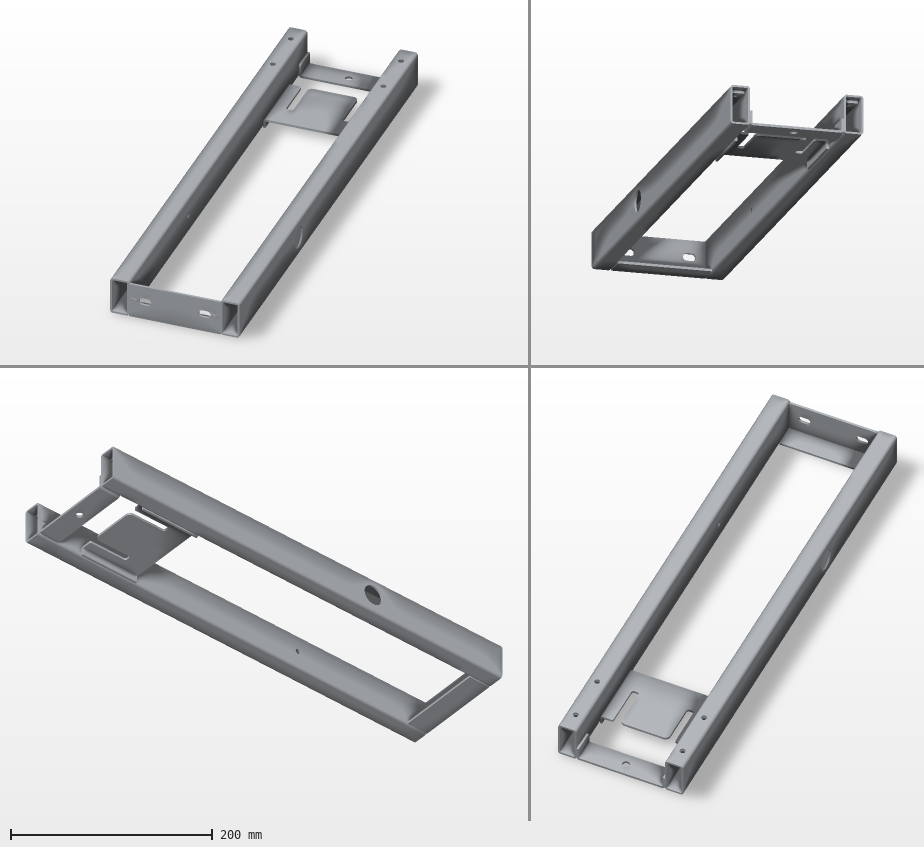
import cadquery as cq

frame_length = 501.5
frame_width = 137.0
rail_width = 20.0
rail_height = 40.0
rail_wall = 2.0
sheet = 2.5
rail_corner = 3.0
bump_depth = 1.5

rail_length = frame_length - bump_depth
rail_center_x = (frame_width - rail_width) / 2
inner_gap = frame_width - 2 * rail_width
bend_radius = 3.5

thread_setbacks = (20.0, 70.0)
clearance_diameter = 6.0
thread_diameter = 4.5
strip_width = 14.0
strip_thickness = 3.0
strip_margin = 10.0

side_hole_setback = 334.0
side_hole_diameter = 6.0
access_diameter = 22.5

front_plate_height = 37.5
front_flange = 25.0
front_slot_length = 13.0
front_slot_height = 7.5
front_slot_x = 31.5
bump_x = 42.5
bump_width = 6.0
bump_height = 3.5

strap_depth = 25.0
strap_ear_height = 15.0
strap_ear_round = 3.0
strap_hole_diameter = 7.5

shelf_setback = 54.5
shelf_depth = 70.0
shelf_height = 10.0
shelf_slot_x = 30.0
shelf_slot_width = 7.5
shelf_slot_depth = 45.0
shelf_slot_round = 2.5
tongue_round = 5.0
ear_round = 2.0


def block(width, depth, height, x, y, z):
    """Box centred on x, starting at y and z."""
    return cq.Workplane("XY").box(width, depth, height, centered=(True, False, False)).translate((x, y, z))


def make_rail(side):
    """Hollow rail on the given side (-1 or 1) with its threaded strip and holes."""
    x = side * rail_center_x
    rail = block(rail_width, rail_length, rail_height, x, 0, 0).edges("|Y").fillet(rail_corner)
    bore = block(rail_width - 2 * rail_wall, rail_length, rail_height - 2 * rail_wall, x, 0, rail_wall)
    bore = bore.edges("|Y").fillet(rail_corner - rail_wall)
    rail = rail.cut(bore)

    strip_length = thread_setbacks[1] - thread_setbacks[0] + 2 * strip_margin
    strip_start = rail_length - thread_setbacks[1] - strip_margin
    wall_base = rail_height - rail_wall
    strip_base = wall_base - strip_thickness
    rail = rail.union(block(strip_width, strip_length, strip_thickness, x, strip_start, strip_base))

    for setback in thread_setbacks:
        center_y = rail_length - setback
        thread = cq.Workplane("XY", origin=(x, center_y, strip_base)).circle(thread_diameter / 2)
        rail = rail.cut(thread.extrude(strip_thickness))
        clearance = cq.Workplane("XY", origin=(x, center_y, wall_base)).circle(clearance_diameter / 2)
        rail = rail.cut(clearance.extrude(rail_wall))

    side_hole_center = (x, rail_length - side_hole_setback, rail_height / 2)
    side_hole = (
        cq.Workplane("YZ", origin=side_hole_center)
        .circle(side_hole_diameter / 2)
        .extrude(rail_width, both=True)
    )
    access_hole = (
        cq.Workplane("YZ", origin=side_hole_center)
        .circle(access_diameter / 2)
        .extrude(side * rail_width / 2)
    )
    return rail.cut(side_hole).cut(access_hole)


def make_front_angle():
    """Upright end plate with a floor flange, two slots and two locating bumps."""
    plate = block(inner_gap, sheet, front_plate_height, 0, 0, 0)
    flange = block(inner_gap, front_flange, sheet, 0, 0, 0)
    mid_height = rail_height / 2
    slots = (
        cq.Workplane("XZ", origin=(0, 0, mid_height))
        .pushPoints([(-front_slot_x, 0), (front_slot_x, 0)])
        .slot2D(front_slot_length, front_slot_height)
        .extrude(-sheet)
    )
    bumps = (
        cq.Workplane("XY", origin=(0, 0, mid_height - bump_height / 2))
        .pushPoints([(-bump_x, 0), (bump_x, 0)])
        .ellipse(bump_width / 2, bump_depth)
        .extrude(bump_height)
    )
    return plate.union(flange).cut(slots).union(bumps)


def make_channel(depth, height, y):
    """Folded sheet with its web at the bottom and upright ears against both rails."""
    outer = block(inner_gap, depth, height, 0, y, 0).edges("|Y and <Z").fillet(bend_radius)
    inner = block(inner_gap - 2 * sheet, depth, height, 0, y, sheet)
    inner = inner.edges("|Y and <Z").fillet(bend_radius - sheet)
    return outer.cut(inner)


def make_rear_strap():
    """Strap across the rear end with upturned ears and a central hole."""
    strap_y = rail_length - strap_depth
    strap = make_channel(strap_depth, strap_ear_height, strap_y)
    strap = strap.edges("|X and >Z and <Y").fillet(strap_ear_round)
    hole = (
        cq.Workplane("XY", origin=(0, strap_y + strap_depth / 2, 0))
        .circle(strap_hole_diameter / 2)
        .extrude(sheet)
    )
    return strap.cut(hole)


def make_shelf():
    """Shelf with downturned ears and two open slots that leave a central tongue."""
    shelf_rear = rail_length - shelf_setback
    shelf = make_channel(shelf_depth, shelf_height, 0)
    shelf = shelf.rotate((0, 0, 0), (0, 1, 0), 180)
    shelf = shelf.translate((0, shelf_rear - shelf_depth, shelf_height))
    slot_end = shelf_rear - shelf_slot_depth
    for side in (-1, 1):
        x = side * shelf_slot_x
        slot = block(shelf_slot_width, shelf_slot_depth, shelf_height, x, slot_end, 0)
        slot = slot.edges("|Z and <Y").fillet(shelf_slot_round)
        shelf = shelf.cut(slot)
        for toward, corner_round in ((-side, tongue_round), (side, ear_round)):
            corner_point = (x + toward * shelf_slot_width / 2, shelf_rear, shelf_height - sheet / 2)
            corner = cq.selectors.NearestToPointSelector(corner_point)
            shelf = shelf.edges(corner).fillet(corner_round)
    return shelf


result = make_rail(-1).union(make_rail(1))
for member in (make_front_angle(), make_rear_strap(), make_shelf()):
    result = result.union(member)